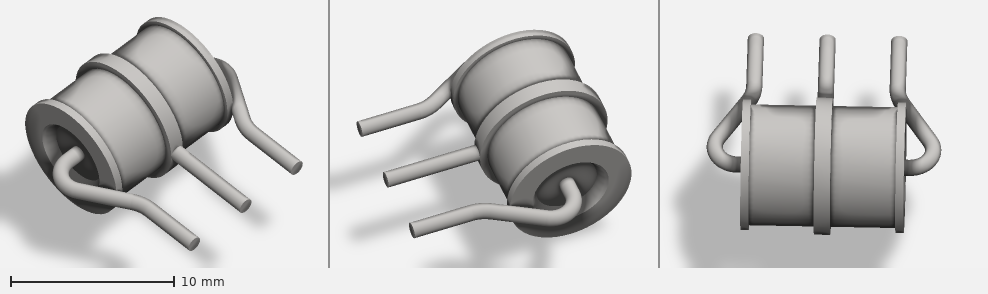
import cadquery as cq
import math

housing_length = 10.0
barrel_radius = 3.7
flange_radius = 4.0
flange_width = 0.5
ring_diameter = 8.4
ring_width = 1.0
recess_mouth_radius = 2.5
recess_floor_radius = 2.0
recess_depth = 0.7

lead_diameter = 1.0
overall_length = 14.4
lead_span = 14.37
lead_pitch = 4.39
straight_start_x = 6.34
first_bend_radius = 1.43
second_bend_radius = 2.38

ring_radius = ring_diameter / 2
half_length = housing_length / 2
recess_floor_y = half_length - recess_depth
lead_radius = lead_diameter / 2
lead_tip_x = overall_length - ring_radius


def make_housing():
    """Flanged barrel with a middle ring and a conical recess in each end face."""
    half_ring = ring_width / 2
    flange_inner_y = half_length - flange_width
    upper_half = [
        (ring_radius, half_ring),
        (barrel_radius, half_ring),
        (barrel_radius, flange_inner_y),
        (flange_radius, flange_inner_y),
        (flange_radius, half_length),
        (recess_mouth_radius, half_length),
        (recess_floor_radius, recess_floor_y),
        (0, recess_floor_y),
    ]
    lower_half = [(radius, -y) for radius, y in reversed(upper_half)]
    profile = cq.Workplane("XY").polyline(upper_half + lower_half).close()
    return profile.revolve(360, (0, 0, 0), (0, 1, 0))


def make_bent_lead():
    """Round lead on the +Y end, from the recess floor out to the tip.

    It leaves along +Y, bends over its apex, slopes back along a line tangent
    to both bends, and finishes parallel to X.
    """
    first_centre_x = first_bend_radius
    first_centre_y = lead_span / 2 - lead_radius - first_bend_radius
    second_centre_y = lead_pitch + second_bend_radius

    centre_dx = straight_start_x - first_centre_x
    centre_dy = second_centre_y - first_centre_y
    centre_distance = math.hypot(centre_dx, centre_dy)
    radius_sum = first_bend_radius + second_bend_radius
    slope = math.asin(radius_sum / centre_distance) - math.atan2(centre_dy, centre_dx)

    def on_first_bend(angle):
        return (first_centre_x + first_bend_radius * math.sin(angle),
                first_centre_y + first_bend_radius * math.cos(angle))

    def on_second_bend(angle):
        return (straight_start_x - second_bend_radius * math.sin(angle),
                second_centre_y - second_bend_radius * math.cos(angle))

    path = (
        cq.Workplane("XY")
        .moveTo(0, recess_floor_y)
        .lineTo(0, first_centre_y)
        .threePointArc(on_first_bend(0), on_first_bend(slope))
        .lineTo(*on_second_bend(slope))
        .threePointArc(on_second_bend(slope / 2), on_second_bend(0))
        .lineTo(lead_tip_x, lead_pitch)
    )
    section = cq.Workplane("XZ", origin=(0, recess_floor_y, 0)).circle(lead_radius)
    return section.sweep(path)


def make_tube():
    """Housing in one piece with the bent lead that rises from each recess floor."""
    bent_lead = make_bent_lead()
    tube = make_housing()
    for lead in (bent_lead, bent_lead.mirror("XZ")):
        tube = tube.union(lead)
    return tube


def make_centre_lead():
    """Straight lead whose flat inner end rests against the crest of the ring."""
    inner_end = cq.Workplane("YZ", origin=(ring_radius, 0, 0))
    return inner_end.circle(lead_radius).extrude(lead_tip_x - ring_radius)


tube = make_tube()
centre_lead = make_centre_lead()

result = cq.Compound.makeCompound([*tube.solids().vals(), *centre_lead.solids().vals()])